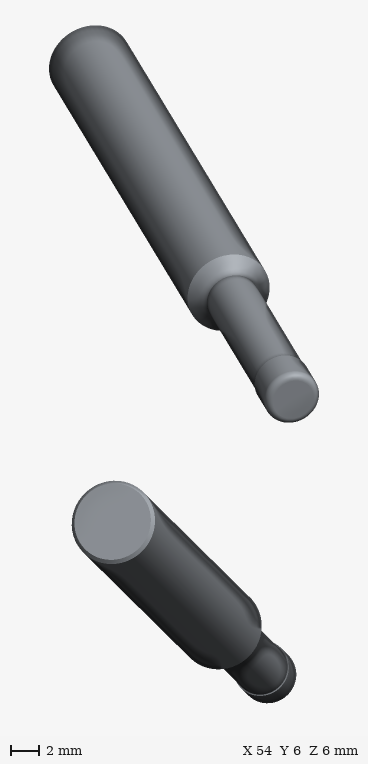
import cadquery as cq

overall_length = 54.0
shank_diameter = 6.0
head_diameter = 4.0
neck_diameter = 3.8
head_length = 3.0
head_corner_radius = 0.5
neck_length = 13.0
rear_chamfer = 0.25

shank_radius = shank_diameter / 2
head_radius = head_diameter / 2
neck_radius = neck_diameter / 2
head_start = overall_length - head_length
neck_start = head_start - neck_length
taper_length = shank_radius - neck_radius
taper_start = neck_start - taper_length


def make_shank():
    """Chamfered cylindrical shank, tapering to the slimmer neck."""
    profile = (
        cq.Workplane("XZ")
        .moveTo(0, 0)
        .lineTo(0, shank_radius - rear_chamfer)
        .lineTo(rear_chamfer, shank_radius)
        .lineTo(taper_start, shank_radius)
        .lineTo(neck_start, neck_radius)
        .lineTo(head_start, neck_radius)
        .lineTo(head_start, 0)
        .close()
    )
    return profile.revolve(360, (0, 0, 0), (1, 0, 0))


def make_cutting_head():
    """Cylindrical head butted against the neck, with a rounded front edge."""
    head = cq.Workplane("YZ", origin=(head_start, 0, 0)).circle(head_radius).extrude(head_length)
    return head.faces(">X").edges().fillet(head_corner_radius)


shank = make_shank()
cutting_head = make_cutting_head()
result = cq.Compound.makeCompound([shank.val(), cutting_head.val()])